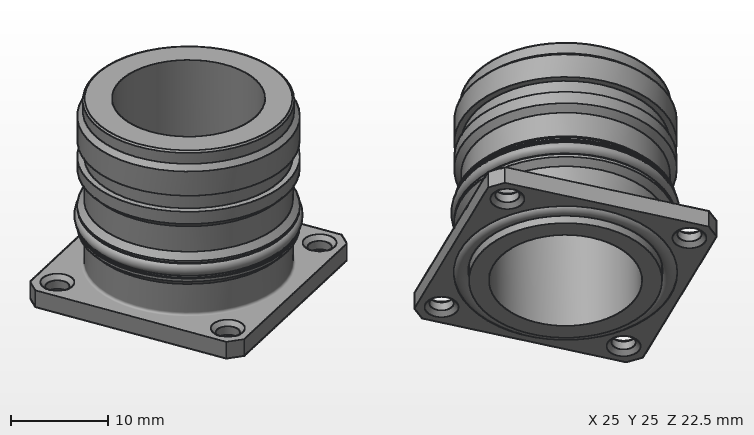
import cadquery as cq
import math

flange_side = 25.0
flange_bottom = 1.0
flange_top = 3.0
corner_chamfer = 1.35
hole_offset = 9.95
hole_radius = 1.25
countersink_depth = 0.5

height = 22.5
bore_radius = 7.88
spigot_radius = 9.92
neck_radius = 10.75
collar_radius = 11.45
collar_bevel = collar_radius - neck_radius
root_fillet = 0.3

lower_collar_bottom = 6.65
lower_collar_top = 10.5
groove_bottom = 7.7
groove_top = 9.58
groove_floor_radius = 11.25

middle_collar_bottom = 13.5
middle_collar_top = 15.65
top_collar_bottom = 17.55
top_collar_top = 21.0
rim_radius = 10.88
rim_chamfer = 0.2

ring_section_radius = 0.75
oring_outer_radius = 11.75
oring_middle = (groove_bottom + groove_top) / 2
seal_outer_radius = 11.5
seal_bottom = 0.5
seal_middle = seal_bottom + ring_section_radius
seal_groove_top = seal_middle + ring_section_radius


def make_tube(inner_radius, outer_radius, bottom, top):
    """Plain ring about the Z axis."""
    return (
        cq.Workplane("XY", origin=(0, 0, bottom))
        .circle(outer_radius)
        .circle(inner_radius)
        .extrude(top - bottom)
    )


def make_ring(outer_radius, middle_height):
    """Round-section ring about the Z axis."""
    centre_radius = outer_radius - ring_section_radius
    torus = cq.Solid.makeTorus(centre_radius, ring_section_radius, cq.Vector(0, 0, middle_height))
    return cq.Workplane(torus)


def make_sleeve():
    """Revolved sleeve with collars, O-ring groove and root fillet."""
    fillet_middle = root_fillet * (1 - math.sqrt(0.5))
    profile = (
        cq.Workplane("XZ")
        .moveTo(bore_radius, 0)
        .lineTo(spigot_radius, 0)
        .lineTo(spigot_radius, flange_bottom)
        .lineTo(neck_radius + root_fillet, flange_bottom)
        .lineTo(neck_radius + root_fillet, flange_top)
        .threePointArc(
            (neck_radius + fillet_middle, flange_top + fillet_middle),
            (neck_radius, flange_top + root_fillet),
        )
        .lineTo(neck_radius, lower_collar_bottom)
        .lineTo(collar_radius, lower_collar_bottom + collar_bevel)
        .lineTo(collar_radius, groove_bottom)
        .lineTo(groove_floor_radius, groove_bottom)
        .lineTo(groove_floor_radius, groove_top)
        .lineTo(collar_radius, groove_top)
        .lineTo(collar_radius, lower_collar_top - collar_bevel)
        .lineTo(neck_radius, lower_collar_top)
        .lineTo(neck_radius, middle_collar_bottom)
        .lineTo(collar_radius, middle_collar_bottom + collar_bevel)
        .lineTo(collar_radius, middle_collar_top)
        .lineTo(neck_radius, middle_collar_top)
        .lineTo(neck_radius, top_collar_bottom)
        .lineTo(collar_radius, top_collar_bottom)
        .lineTo(collar_radius, top_collar_top - (collar_radius - rim_radius))
        .lineTo(rim_radius, top_collar_top)
        .lineTo(rim_radius, height - rim_chamfer)
        .lineTo(rim_radius - rim_chamfer, height)
        .lineTo(bore_radius, height)
        .close()
    )
    return profile.revolve(360, (0, 0, 0), (0, 1, 0))


def make_hole_cutter():
    """Through hole with a 45 degree countersink at each face of the flange."""
    mouth_radius = hole_radius + countersink_depth
    profile = (
        cq.Workplane("XZ")
        .moveTo(0, flange_bottom)
        .lineTo(mouth_radius, flange_bottom)
        .lineTo(hole_radius, flange_bottom + countersink_depth)
        .lineTo(hole_radius, flange_top - countersink_depth)
        .lineTo(mouth_radius, flange_top)
        .lineTo(0, flange_top)
        .close()
    )
    return profile.revolve(360, (0, 0, 0), (0, 1, 0))


def make_flange():
    """Square plate with chamfered corners, four corner holes and the bore."""
    plate = (
        cq.Workplane("XY", origin=(0, 0, flange_bottom))
        .rect(flange_side, flange_side)
        .extrude(flange_top - flange_bottom)
        .edges("|Z")
        .chamfer(corner_chamfer)
    )
    hole_cutter = make_hole_cutter()
    for x in (-hole_offset, hole_offset):
        for y in (-hole_offset, hole_offset):
            plate = plate.cut(hole_cutter.translate((x, y, 0)))
    bore = cq.Workplane("XY").circle(bore_radius).extrude(height)
    return plate.cut(bore)


def make_housing(ring):
    """Sleeve and flange in one piece, with the recesses for both rings."""
    seal_groove = make_tube(spigot_radius, seal_outer_radius, flange_bottom, seal_groove_top)
    return make_sleeve().union(make_flange()).cut(seal_groove).cut(ring)


oring = make_ring(oring_outer_radius, oring_middle)
flange_seal = make_ring(seal_outer_radius, seal_middle)
housing = make_housing(oring)

result = cq.Compound.makeCompound([*housing.solids().vals(), oring.val(), flange_seal.val()])